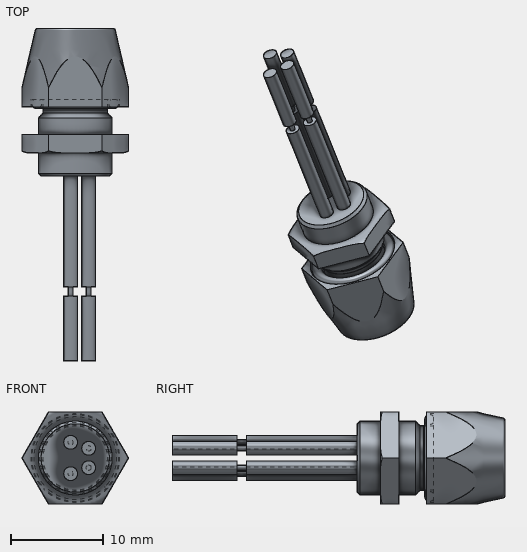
import cadquery as cq
import math


body_length = 16.0
cap_length = 8.5
nut_y = 2.5
nut_thickness = 2.0
cap_y = body_length - cap_length
inner_neck_length = 0.35
neck_length = 0.35
neck_step_y = cap_y - inner_neck_length
shoulder_y = neck_step_y - neck_length

hex_flats = 10.0
hex_corner_diameter = hex_flats / math.cos(math.radians(30))
cap_end_diameter = 8.58
cap_cone_angle = 13.0
cap_edge_fillet = 0.3

body_diameter = 8.0
body_edge_chamfer = 0.3
neck_diameter = 7.0
inner_neck_diameter = 6.96
shoulder_length = (body_diameter - neck_diameter) / 2

nut_face_diameter = 9.99
nut_rounding_radius = 1.5

seal_section_diameter = 1.07
seal_center_radius = 4.17
seal_projection = 0.2
seal_recess_diameter = 9.6
seal_embedment = 0.1
seal_recess_depth = seal_section_diameter - seal_projection - seal_embedment

wire_diameter = 1.5
conductor_diameter = 0.56
close_pair_x = 1.45
close_pair_z = 1.05
wide_pair_x = -0.5
wide_pair_z = 1.7
insulation_length = 12.0
stripped_length = 1.0
end_sleeve_length = 7.0
wire_length = insulation_length + stripped_length + end_sleeve_length


def cylinder(diameter, start_y, end_y, x=0.0, z=0.0):
    """Cylinder parallel to Y between two positions."""
    plane = cq.Workplane("XZ", origin=(x, start_y, z))
    return plane.circle(diameter / 2).extrude(start_y - end_y)


def revolve_profile(points):
    """Turn a closed (radius, Y) outline about the Y axis."""
    return cq.Workplane("XY").polyline(points).close().revolve(360, (0, 0, 0), (0, 1, 0))


def hexagon(start_y, length):
    """Hexagonal bar along Y with corners on the X axis."""
    plane = cq.Workplane("XZ", origin=(0, start_y, 0))
    return plane.polygon(6, hex_corner_diameter).extrude(-length)


def make_cap():
    end_radius = cap_end_diameter / 2
    cone_growth = cap_length * math.tan(math.radians(cap_cone_angle))
    cone = revolve_profile([
        (0, cap_y),
        (end_radius + cone_growth, cap_y),
        (end_radius, body_length),
        (0, body_length),
    ])
    cone = cone.faces(">Y").edges().fillet(cap_edge_fillet)
    recess = cylinder(seal_recess_diameter, cap_y, cap_y + seal_recess_depth)
    return hexagon(cap_y, cap_length).intersect(cone).cut(recess)


def make_body():
    body_radius = body_diameter / 2
    neck_radius = neck_diameter / 2
    barrel = revolve_profile([
        (0, 0),
        (body_radius, 0),
        (body_radius, shoulder_y - shoulder_length),
        (neck_radius, shoulder_y),
        (neck_radius, neck_step_y),
        (0, neck_step_y),
    ])
    barrel = barrel.faces("<Y").edges().chamfer(body_edge_chamfer)
    inner_neck = cylinder(inner_neck_diameter, neck_step_y, cap_y + seal_recess_depth)
    return barrel.union(inner_neck)


def make_nut():
    face_radius = nut_face_diameter / 2
    corner_radius = hex_corner_diameter / 2

    def rounding_point(radius):
        """Point on the arc that leaves the nut face tangentially."""
        offset = radius - face_radius
        depth = nut_rounding_radius - math.sqrt(nut_rounding_radius**2 - offset**2)
        return (radius, nut_y + depth)

    envelope = (
        cq.Workplane("XY")
        .moveTo(0, nut_y)
        .lineTo(face_radius, nut_y)
        .threePointArc(rounding_point((face_radius + corner_radius) / 2), rounding_point(corner_radius))
        .lineTo(corner_radius, nut_y + nut_thickness)
        .lineTo(0, nut_y + nut_thickness)
        .close()
        .revolve(360, (0, 0, 0), (0, 1, 0))
    )
    return hexagon(nut_y, nut_thickness).intersect(envelope)


def make_seal():
    section_radius = seal_section_diameter / 2
    center = cq.Vector(0, cap_y - seal_projection + section_radius, 0)
    ring = cq.Solid.makeTorus(seal_center_radius, section_radius, center, cq.Vector(0, 1, 0))
    return cq.Workplane(ring)


def make_wire(x, z):
    conductor = cylinder(conductor_diameter, -wire_length, 0, x, z)
    insulation = cylinder(wire_diameter, -insulation_length, 0, x, z)
    end_sleeve = cylinder(wire_diameter, -wire_length, end_sleeve_length - wire_length, x, z)
    return conductor.union(insulation).union(end_sleeve)


result = make_body().union(make_cap()).union(make_nut()).union(make_seal())
for pair_x, pair_z in ((close_pair_x, close_pair_z), (wide_pair_x, wide_pair_z)):
    for side in (-1, 1):
        result = result.union(make_wire(pair_x, side * pair_z))